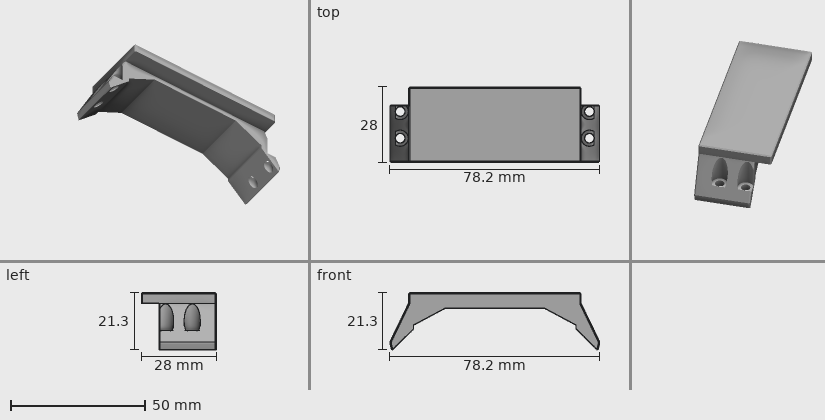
import cadquery as cq
import math

length = 78.15
height = 21.3
plate_half = 32.1
plate_depth = 28.0
plate_thickness = 4.0
leg_depth = 21.4
edge_chamfer = 0.5

arch_half = 18.5
arch_z = -5.9
step_x = 30.25
step_top_z = -12.1
step_bottom_z = -13.5

tip_x = 38.15
toe_x = 38.5
toe_z = -21.1
ankle_x = 39.0
ankle_z = -19.2
leg_outer_z = -18.4

hole_diameter = 3.5
head_diameter = 6.0
hole_x = 35.25
hole_rows = (9.0, 18.9)
head_seat_z = -14.15


def make_bridge():
    """Bridge and legs: one outline in XZ, extruded from the front face to the back."""
    right_half = [
        (plate_half, 0),
        (plate_half, -plate_thickness),
        (length / 2, leg_outer_z),
        (ankle_x, ankle_z),
        (toe_x, toe_z),
        (tip_x, -height),
        (step_x, step_bottom_z),
        (step_x, step_top_z),
        (arch_half, arch_z),
    ]
    left_half = [(-x, z) for x, z in reversed(right_half)]
    outline = cq.Workplane("XZ").polyline(right_half + left_half).close()
    return outline.extrude(-leg_depth)


def make_plate():
    """Top plate, which overhangs the legs at the back."""
    return (
        cq.Workplane("XY")
        .rect(2 * plate_half, plate_depth)
        .extrude(-plate_thickness)
        .translate((0, plate_depth / 2, 0))
    )


def chamfer_outer_edges(body):
    """Chamfer the plate top and corners, and the front and back edges of the outer leg faces."""
    slack = 0.01

    def is_outer_edge(edge):
        box = edge.BoundingBox()
        along_y = box.ylen > slack
        on_top = box.zmin > -slack
        center = edge.Center()
        plate_corner = abs(abs(center.x) - plate_half) < slack and not along_y
        leg_side = abs(center.x) > plate_half + slack and not along_y
        outer_side = leg_side and box.zmin > toe_z - slack
        return on_top or plate_corner or outer_side

    edges = [edge for edge in body.edges().vals() if is_outer_edge(edge)]
    return body.newObject(edges).chamfer(edge_chamfer)


def make_screw_cutters():
    """Through holes with head recesses reaching up to the plate underside."""
    centers = [(side * hole_x, y) for side in (-1, 1) for y in hole_rows]
    layout = cq.Workplane("XY").pushPoints(centers)
    shanks = layout.circle(hole_diameter / 2).extrude(-height)
    heads = layout.circle(head_diameter / 2).extrude(head_seat_z)
    return shanks.union(heads).cut(make_plate())


def make_recess_mouth_cutters():
    """Bevels where the rear head recesses break out through the back of the legs."""
    chord_half = math.sqrt((head_diameter / 2) ** 2 - (leg_depth - hole_rows[1]) ** 2)
    inner_x = hole_x - chord_half - edge_chamfer
    bevel_profile = [
        (leg_depth - edge_chamfer, -plate_thickness),
        (leg_depth - edge_chamfer, head_seat_z),
        (leg_depth, head_seat_z - edge_chamfer),
        (leg_depth, -plate_thickness),
    ]
    right_bevel = (
        cq.Workplane("YZ")
        .workplane(offset=inner_x)
        .polyline(bevel_profile)
        .close()
        .extrude(length / 2 - inner_x)
    )
    return right_bevel.union(right_bevel.mirror("YZ"))



body = make_bridge().union(make_plate()).clean()
result = chamfer_outer_edges(body).cut(make_screw_cutters()).cut(make_recess_mouth_cutters())